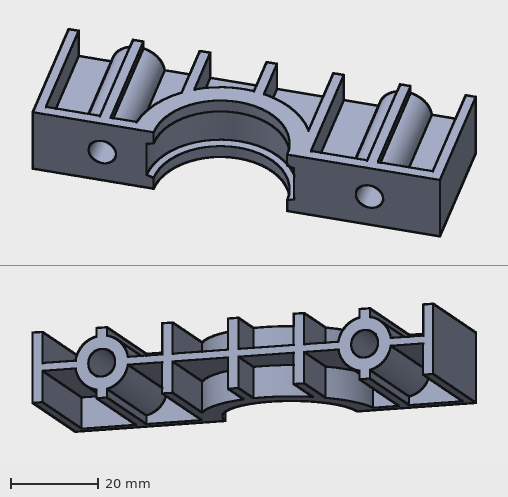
import cadquery as cq

length = 96.5
depth = 31.8
height = 16.5
mid_height = height / 2

end_wall = 2.4
front_wall = 2.7
rib_thickness = 2.5
rib_spacing = 15.8
first_rib_x = 16.5
rib_count = 5
web_thickness = 1.8

bore_x = 44.5
bore_radius = 15.8
groove_radius = 17.5
ring_radius = 20.8
groove_width = 9.0
groove_chamfer = 0.6

hole_diameter = 6.5
sleeve_radius = 6.4
bolt_x = (first_rib_x, first_rib_x + (rib_count - 1) * rib_spacing)


def box(x_start, x_size, y_size, z_size):
    """Box starting at the front face and centred at mid height."""
    corner = (x_start, 0, mid_height - z_size / 2)
    return cq.Workplane("XY").box(x_size, y_size, z_size, centered=False).translate(corner)


def rod(x, radius):
    """Round rod through the whole depth at mid height."""
    plane = cq.Workplane("XZ", origin=(x, 0, mid_height))
    return plane.circle(radius).extrude(-depth)


def disc(radius, thickness):
    """Upright cylinder on the bearing axis, centred at mid height."""
    plane = cq.Workplane("XY", origin=(bore_x, 0, mid_height - thickness / 2))
    return plane.circle(radius).extrude(thickness)


body = box(0, length, depth, web_thickness)
body = body.union(box(0, length, front_wall, height))
for wall_x in (0, length - end_wall):
    body = body.union(box(wall_x, end_wall, depth, height))

for index in range(rib_count):
    rib_x = first_rib_x + index * rib_spacing
    body = body.union(box(rib_x - rib_thickness / 2, rib_thickness, depth, height))

for x in bolt_x:
    body = body.union(rod(x, sleeve_radius))

ring = disc(ring_radius, height).intersect(box(0, length, depth, height))
body = body.union(ring)

groove_edge_width = groove_width + 2 * groove_chamfer
groove = disc(groove_radius, groove_edge_width).edges().chamfer(groove_chamfer, groove_radius - bore_radius)
body = body.cut(disc(bore_radius, height)).cut(groove)

for x in bolt_x:
    body = body.cut(rod(x, hole_diameter / 2))

result = body